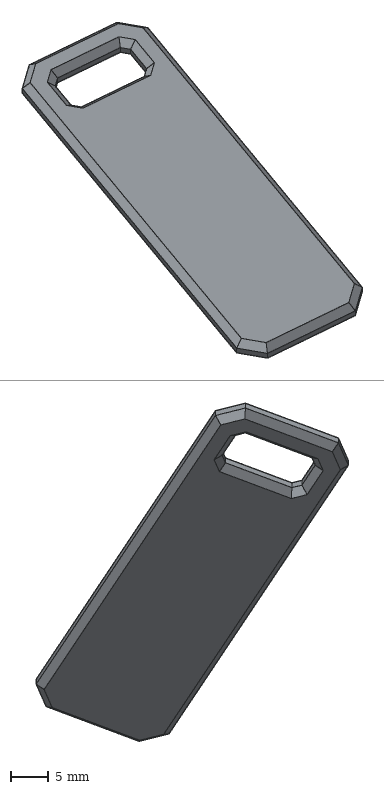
import cadquery as cq

length = 60.0
width = 20.0
thickness = 3.0
corner_cut = 3.0

slot_length = 6.0
slot_width = 12.0
slot_corner_cut = 1.0
slot_center_from_end = 7.0
slot_center_x = -length / 2 + slot_center_from_end

bevel = 1.0


def cut_corner_block(size_x, size_y, corner):
    """Plate-thick block standing on Z = 0 with its four vertical edges cut at 45 degrees."""
    block = cq.Workplane("XY").box(size_x, size_y, thickness, centered=(True, True, False))
    return block.edges("|Z").chamfer(corner)


def make_slotted_plate():
    """Cut-corner plate with the cut-corner slot running straight through it."""
    plate = cut_corner_block(length, width, corner_cut)
    slot = cut_corner_block(slot_length, slot_width, slot_corner_cut)
    return plate.cut(slot.translate((slot_center_x, 0, 0)))


def bevel_all_rims(plate):
    """Bevel the outer rim and the slot mouth on both broad faces."""
    return plate.faces("<Z or >Z").edges().chamfer(bevel)


result = bevel_all_rims(make_slotted_plate())